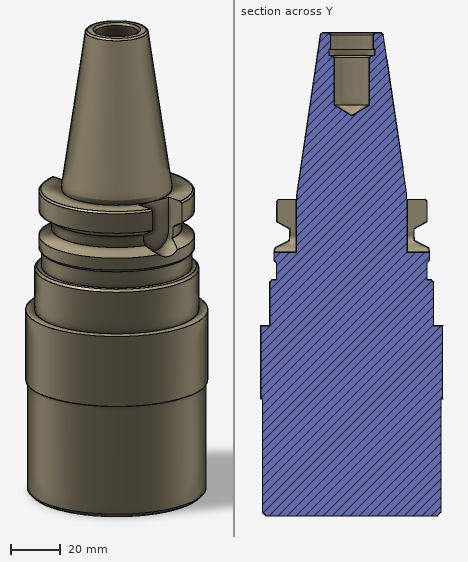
import cadquery as cq
import math

total_height = 195.4
gauge_height = 130.0
flange_top = 128.0
groove_height = 113.7
flange_bottom = 102.4
sleeve_top = 95.5
collar_top = 77.0
collar_bottom = 47.3

taper_ratio = 7 / 24
gauge_radius = 22.3
flange_radius = 31.5
groove_radius = 26.4
neck_radius = 30.5
sleeve_radius = 33.2
collar_radius = 36.83
body_radius = 36.1

groove_floor_width = 4.7
groove_flank_height = 3.0
taper_tip_chamfer = 0.8
flange_chamfer = 0.8
sleeve_chamfer = 1.0
body_chamfer = 1.5

keyway_width = 16.0
keyway_inner_x = 22.5
keyway_bottom = 106.7

bore_mouth_radius = 9.5
pilot_radius = 8.5
pilot_depth = 6.8
drill_radius = 7.0
drill_depth = 29.3
relief_radius = 9.2
relief_width = 2.3
seat_angle = 120.0
drill_point_angle = 118.0


def revolve_profile(outline):
    """Revolve (radius, height) points that start and end on the axis about Z."""
    return cq.Workplane("XZ").polyline(outline).close().revolve(360, (0, 0, 0), (0, 1, 0))


def cone_height(radius_change, included_angle):
    return radius_change / math.tan(math.radians(included_angle / 2))


def make_holder():
    tip_radius = gauge_radius - taper_ratio / 2 * (total_height - gauge_height)
    floor_top = groove_height + groove_floor_width / 2
    floor_bottom = groove_height - groove_floor_width / 2
    return revolve_profile([
        (0, 0),
        (body_radius - body_chamfer, 0),
        (body_radius, body_chamfer),
        (body_radius, collar_bottom),
        (collar_radius, collar_bottom),
        (collar_radius, collar_top),
        (sleeve_radius, collar_top),
        (sleeve_radius, sleeve_top - sleeve_chamfer),
        (sleeve_radius - sleeve_chamfer, sleeve_top),
        (neck_radius, sleeve_top),
        (neck_radius, flange_bottom),
        (flange_radius, flange_bottom + flange_radius - neck_radius),
        (flange_radius, floor_bottom - groove_flank_height),
        (groove_radius, floor_bottom),
        (groove_radius, floor_top),
        (flange_radius, floor_top + groove_flank_height),
        (flange_radius, flange_top - flange_chamfer),
        (flange_radius - flange_chamfer, flange_top),
        (gauge_radius, flange_top),
        (gauge_radius, gauge_height),
        (tip_radius, total_height - taper_tip_chamfer),
        (tip_radius - taper_tip_chamfer, total_height),
        (0, total_height),
    ])


def make_keyway(side):
    """Radial slot with a half-round bottom, open at the flange top; side is +1 or -1."""
    round_radius = keyway_width / 2
    round_center = keyway_bottom + round_radius
    return (
        cq.Workplane("YZ", origin=(side * keyway_inner_x, 0, 0))
        .moveTo(-round_radius, flange_top)
        .lineTo(-round_radius, round_center)
        .threePointArc((0, keyway_bottom), (round_radius, round_center))
        .lineTo(round_radius, flange_top)
        .close()
        .extrude(side * (flange_radius - keyway_inner_x))
    )


def make_bore():
    mouth_depth = bore_mouth_radius - pilot_radius
    relief_depth = pilot_depth + relief_width
    seat_depth = relief_depth + cone_height(pilot_radius - drill_radius, seat_angle)
    point_depth = drill_depth + cone_height(drill_radius, drill_point_angle)
    return revolve_profile([
        (0, total_height),
        (bore_mouth_radius, total_height),
        (pilot_radius, total_height - mouth_depth),
        (pilot_radius, total_height - pilot_depth),
        (relief_radius, total_height - pilot_depth),
        (relief_radius, total_height - relief_depth),
        (pilot_radius, total_height - relief_depth),
        (drill_radius, total_height - seat_depth),
        (drill_radius, total_height - drill_depth),
        (0, total_height - point_depth),
    ])


result = make_holder().cut(make_bore())
for side in (1, -1):
    result = result.cut(make_keyway(side))